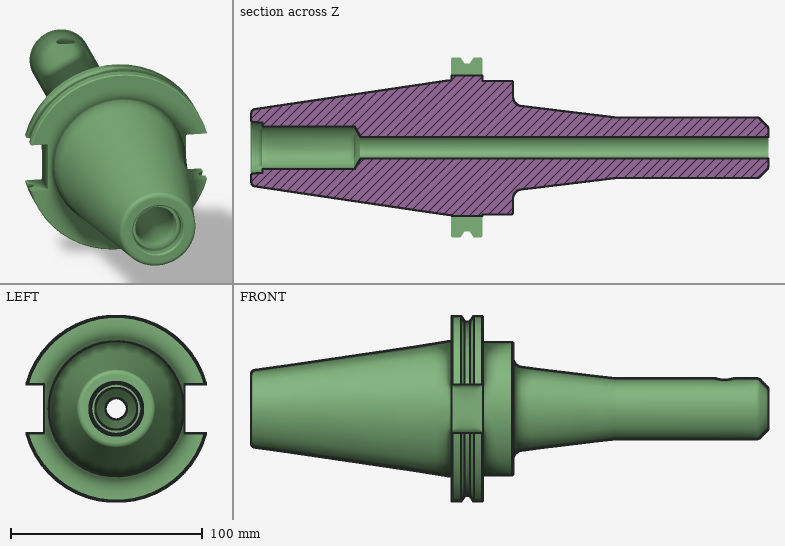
import cadquery as cq
import math

LENGTH = 269.8

TAPER_END_X = 102.8
TAPER_SMALL_RADIUS = 20.0
TAPER_LARGE_RADIUS = 70.5 / 2
TAPER_EDGE_FILLET = 2.5

FLANGE_START_X = 104.5
FLANGE_END_X = 120.9
FLANGE_RADIUS = 48.5
FLANGE_CHAMFER = 0.5
GROOVE_CENTER_X = 112.8
GROOVE_DEPTH = 3.0
GROOVE_FLOOR_WIDTH = 2.7
GROOVE_MOUTH_WIDTH = 6.7

COLLAR_RADIUS = 70.0 / 2
COLLAR_END_X = 136.8
COLLAR_CHAMFER = 0.8

NECK_START_X = 141.4
NECK_START_RADIUS = 21.9
NECK_END_X = 190.2
NECK_ROOT_RADIUS = NECK_START_X - COLLAR_END_X
SHANK_RADIUS = 31.8 / 2
TIP_CHAMFER = 5.0
TIP_EDGE_FILLET = 2.2

SLOT_WIDTH = 25.4
SLOT_FLOOR_BACK = 37.8
SLOT_FLOOR_FRONT = 35.5

THROUGH_RADIUS = 11.0 / 2
THREAD_RADIUS = 21.9 / 2
THREAD_DEPTH = 54.0
COUNTERBORE_RADIUS = 26.2 / 2
COUNTERBORE_DEPTH = 6.0
ENTRY_RADIUS = 26.7 / 2
ENTRY_DEPTH = 3.0
MOUTH_RADIUS = 14.0
DRILL_POINT_ANGLE = 120.0

CROSS_HOLE_X = 246.8
CROSS_HOLE_DIAMETER = 9.7


def make_body():
    """Revolve the outer profile and round its exposed end edges."""
    groove_floor_radius = FLANGE_RADIUS - GROOVE_DEPTH
    half_mouth = GROOVE_MOUTH_WIDTH / 2
    half_floor = GROOVE_FLOOR_WIDTH / 2
    diagonal = NECK_ROOT_RADIUS * (1 - math.sqrt(0.5))
    root_mid = (COLLAR_END_X + diagonal, NECK_START_RADIUS + diagonal)
    profile = (
        cq.Workplane("XY")
        .moveTo(0, 0)
        .lineTo(0, TAPER_SMALL_RADIUS)
        .lineTo(TAPER_END_X, TAPER_LARGE_RADIUS)
        .lineTo(FLANGE_START_X, TAPER_LARGE_RADIUS)
        .lineTo(FLANGE_START_X, FLANGE_RADIUS - FLANGE_CHAMFER)
        .lineTo(FLANGE_START_X + FLANGE_CHAMFER, FLANGE_RADIUS)
        .lineTo(GROOVE_CENTER_X - half_mouth, FLANGE_RADIUS)
        .lineTo(GROOVE_CENTER_X - half_floor, groove_floor_radius)
        .lineTo(GROOVE_CENTER_X + half_floor, groove_floor_radius)
        .lineTo(GROOVE_CENTER_X + half_mouth, FLANGE_RADIUS)
        .lineTo(FLANGE_END_X - FLANGE_CHAMFER, FLANGE_RADIUS)
        .lineTo(FLANGE_END_X, FLANGE_RADIUS - FLANGE_CHAMFER)
        .lineTo(FLANGE_END_X, COLLAR_RADIUS)
        .lineTo(COLLAR_END_X - COLLAR_CHAMFER, COLLAR_RADIUS)
        .lineTo(COLLAR_END_X, COLLAR_RADIUS - COLLAR_CHAMFER)
        .lineTo(COLLAR_END_X, NECK_START_RADIUS + NECK_ROOT_RADIUS)
        .threePointArc(root_mid, (NECK_START_X, NECK_START_RADIUS))
        .lineTo(NECK_END_X, SHANK_RADIUS)
        .lineTo(LENGTH - TIP_CHAMFER, SHANK_RADIUS)
        .lineTo(LENGTH, SHANK_RADIUS - TIP_CHAMFER)
        .lineTo(LENGTH, 0)
        .close()
    )
    body = profile.revolve(360, (0, 0, 0), (1, 0, 0))
    body = body.faces("<X").edges().fillet(TAPER_EDGE_FILLET)
    margin = TIP_CHAMFER / 10
    tip_edges = cq.selectors.BoxSelector(
        (LENGTH - TIP_CHAMFER - margin, -FLANGE_RADIUS, -FLANGE_RADIUS),
        (LENGTH + margin, FLANGE_RADIUS, FLANGE_RADIUS),
    )
    return body.edges(tip_edges).edges("%CIRCLE").fillet(TIP_EDGE_FILLET)


def make_bore():
    """Stepped bore with a chamfered mouth and a conical drill point."""
    mouth_chamfer = MOUTH_RADIUS - ENTRY_RADIUS
    point_length = (THREAD_RADIUS - THROUGH_RADIUS) / math.tan(math.radians(DRILL_POINT_ANGLE / 2))
    return (
        cq.Workplane("XY")
        .moveTo(0, 0)
        .lineTo(0, MOUTH_RADIUS)
        .lineTo(mouth_chamfer, ENTRY_RADIUS)
        .lineTo(ENTRY_DEPTH, ENTRY_RADIUS)
        .lineTo(ENTRY_DEPTH, COUNTERBORE_RADIUS)
        .lineTo(COUNTERBORE_DEPTH, COUNTERBORE_RADIUS)
        .lineTo(COUNTERBORE_DEPTH, THREAD_RADIUS)
        .lineTo(THREAD_DEPTH, THREAD_RADIUS)
        .lineTo(THREAD_DEPTH + point_length, THROUGH_RADIUS)
        .lineTo(LENGTH, THROUGH_RADIUS)
        .lineTo(LENGTH, 0)
        .close()
        .revolve(360, (0, 0, 0), (1, 0, 0))
    )


def make_drive_slot(floor_distance, side):
    """Cutter for one flange slot; side is +1 for +Y and -1 for -Y."""
    flange_width = FLANGE_END_X - FLANGE_START_X
    center_x = (FLANGE_START_X + FLANGE_END_X) / 2
    center_y = side * (floor_distance + FLANGE_RADIUS / 2)
    return cq.Workplane("XY").box(flange_width, FLANGE_RADIUS, SLOT_WIDTH).translate((center_x, center_y, 0))


def make_cross_hole():
    """Radial hole running from the axis up through the top of the shank."""
    return (
        cq.Workplane("XY")
        .center(CROSS_HOLE_X, 0)
        .circle(CROSS_HOLE_DIAMETER / 2)
        .extrude(2 * SHANK_RADIUS)
    )


result = (
    make_body()
    .cut(make_bore())
    .cut(make_drive_slot(SLOT_FLOOR_BACK, 1))
    .cut(make_drive_slot(SLOT_FLOOR_FRONT, -1))
    .cut(make_cross_hole())
)